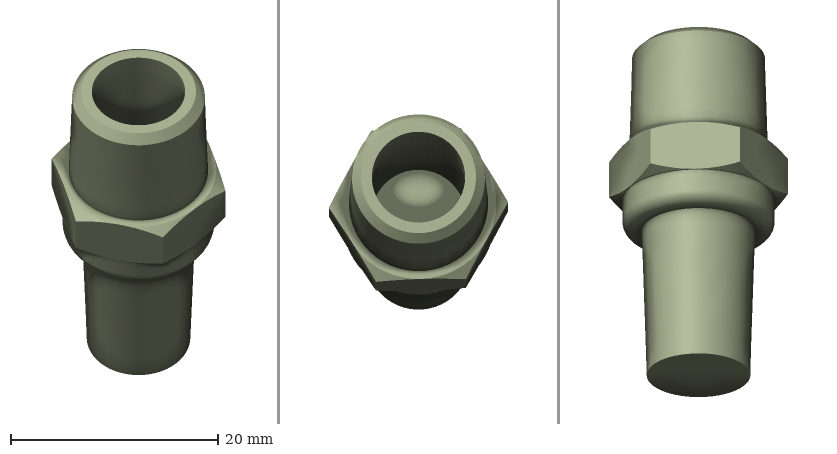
import cadquery as cq
import math

total_height = 34.5
collar_bottom = 15.25
hex_bottom = 18.5
hex_height = 5.0
hex_top = hex_bottom + hex_height
rim_chamfer_height = 0.8
rim_chamfer_start = total_height - rim_chamfer_height

tail_foot_radius = 5.0
tail_top_radius = 5.5
collar_radius = 14.7 / 2
collar_fillet = 1.1
neck_base_radius = 6.73
neck_top_radius = 6.4
rim_radius = 5.55

hex_across_flats = 15.0
hex_corner_radius = hex_across_flats / math.sqrt(3)
hex_face_radius = hex_across_flats / 2
hex_chamfer_angle = 30.0
hex_sides = 6
hex_turn = 180 / hex_sides

bore_diameter = 9.0
bore_depth = total_height - hex_bottom


def revolve_profile(points):
    """Revolve a closed (radius, height) outline about Z."""
    return cq.Workplane("XZ").polyline(points).close().revolve(360, (0, 0), (0, 1))


def make_tail():
    return revolve_profile([
        (0, 0),
        (tail_foot_radius, 0),
        (tail_top_radius, collar_bottom),
        (0, collar_bottom),
    ])


def make_collar():
    collar = cq.Workplane("XY", origin=(0, 0, collar_bottom))
    collar = collar.circle(collar_radius).extrude(hex_bottom - collar_bottom)
    return collar.edges("<Z").fillet(collar_fillet)


def make_hexagon():
    """Hexagonal nut section with its corners turned off conically at both ends."""
    prism = (
        cq.Workplane("XY", origin=(0, 0, hex_bottom))
        .polygon(hex_sides, 2 * hex_corner_radius)
        .extrude(hex_height)
        .rotate((0, 0, 0), (0, 0, 1), hex_turn)
    )
    corner_drop = (hex_corner_radius - hex_face_radius) * math.tan(math.radians(hex_chamfer_angle))
    envelope = revolve_profile([
        (0, hex_bottom),
        (hex_face_radius, hex_bottom),
        (hex_corner_radius, hex_bottom + corner_drop),
        (hex_corner_radius, hex_top - corner_drop),
        (hex_face_radius, hex_top),
        (0, hex_top),
    ])
    return prism.intersect(envelope)


def make_neck():
    """Tapered upper section with a chamfered rim."""
    return revolve_profile([
        (0, hex_top),
        (neck_base_radius, hex_top),
        (neck_top_radius, rim_chamfer_start),
        (rim_radius, total_height),
        (0, total_height),
    ])


def make_bore():
    bore = cq.Workplane("XY", origin=(0, 0, total_height))
    return bore.circle(bore_diameter / 2).extrude(-bore_depth)


body = make_tail().union(make_collar()).union(make_hexagon()).union(make_neck())
result = body.cut(make_bore())